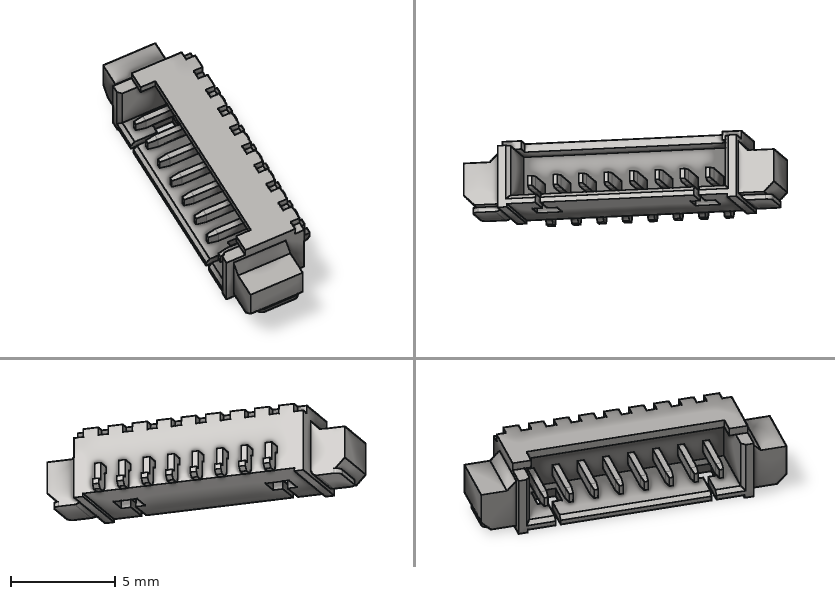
import cadquery as cq
import math


overall_length = 15.25
overall_depth = 5.2
height = 3.4
body_length = 11.75
body_depth = 4.2
body_half = body_length / 2
standoff = 0.15
end_pad_width = 0.45

wall = 0.6
floor_top = 0.6
roof = 0.4
roof_underside = height - roof
cavity_depth = 3.0
mouth_chamfer = 0.2

side_wall_setback = 1.0
roof_setback = 1.8
roof_tab_width = 0.93
notch_width = 0.5
notch_depth = 0.49
corner_notch_width = 0.47

pin_count = 8
pin_pitch = 1.25
pin_width = 0.32
pin_bottom = 1.02
pin_height = 0.6
pin_tip_setback = 0.4
pin_taper_length = 0.5
pin_taper = 0.06

tail_thickness = 0.32
tail_leg_outer = 0.73
tail_leg_inner = 0.23
tail_bend_radius = 0.18
tail_toe_top = 0.47
tail_chamfer_length = 0.17
tail_chamfer_height = 0.21

opening_center = 3.89
slit_width = 0.25
window_width = 1.22
window_front = 1.42
window_back = 2.5

wing_front = 0.38
wing_depth = 2.82
wing_bottom = 0.25
wing_top = 2.3
wing_gusset = 0.47
wing_chamfer = 0.49
foot_setback = 0.26
foot_front = 0.98
foot_corner_radius = 0.3
foot_bend_radius = 0.34

pin_positions = [(i - (pin_count - 1) / 2) * pin_pitch for i in range(pin_count)]


def block(x_min, x_max, y_min, y_max, z_min, z_max):
    """Axis-aligned box between the given limits."""
    size = (x_max - x_min, y_max - y_min, z_max - z_min)
    return cq.Workplane("XY").box(*size, centered=False).translate((x_min, y_min, z_min))


def both_ends(shape):
    """The shape together with its mirror image at the other end of the part."""
    return shape.union(shape.mirror("YZ"))


def make_cavity():
    """Pocket open to the front, its mouth flared along the floor and side walls."""
    inner_half = body_half - wall
    pocket = block(-inner_half, inner_half, 0, cavity_depth, floor_top, roof_underside)
    flare_half = inner_half + mouth_chamfer
    flare_bottom = floor_top - mouth_chamfer
    flare_top = roof_underside + mouth_chamfer
    flare = (
        cq.Workplane("XZ")
        .center(0, (flare_bottom + flare_top) / 2)
        .rect(2 * flare_half, flare_top - flare_bottom)
        .extrude(-mouth_chamfer, taper=45)
    )
    return pocket.union(flare)


def make_roof_cuts():
    """Front step of the roof, leaving a tab at each end, and the notches along its rear edge."""
    opening_half = body_half - roof_tab_width
    cuts = block(-body_half, body_half, 0, side_wall_setback, roof_underside, height)
    cuts = cuts.union(block(-opening_half, opening_half, 0, roof_setback, roof_underside, height))
    notch_front = body_depth - notch_depth
    for x in pin_positions:
        notch = block(
            x - notch_width / 2, x + notch_width / 2, notch_front, body_depth, roof_underside, height
        )
        cuts = cuts.union(notch)
    corner_start = body_half - corner_notch_width
    corner = block(corner_start, body_half, notch_front, body_depth, roof_underside, height)
    return cuts.union(both_ends(corner))


def make_floor_openings():
    """A window through the floor between the last two pins of each end, slit out to the front."""
    window = block(
        opening_center - window_width / 2,
        opening_center + window_width / 2,
        window_front,
        window_back,
        0,
        floor_top,
    )
    slit = block(
        opening_center - slit_width / 2, opening_center + slit_width / 2, 0, window_front, 0, floor_top
    )
    return both_ends(window.union(slit))


def make_housing():
    """Hollow body raised off the board on a full-depth pad along each end."""
    pad_inner = body_half - end_pad_width
    body = block(-body_half, body_half, 0, body_depth, standoff, height)
    pad = block(pad_inner, body_half, 0, body_depth, 0, standoff)
    body = body.union(both_ends(pad))
    return body.cut(make_cavity()).cut(make_roof_cuts()).cut(make_floor_openings())


def make_wing():
    """Wing on the +X end, with a sloped gusset above and a chamfer on its lower outer edge."""
    tip = overall_length / 2
    return (
        cq.Workplane("XZ")
        .moveTo(body_half, wing_bottom)
        .lineTo(tip - wing_chamfer, wing_bottom)
        .lineTo(tip, wing_bottom + wing_chamfer)
        .lineTo(tip, wing_top)
        .lineTo(body_half + wing_gusset, wing_top)
        .lineTo(body_half, wing_top + wing_gusset)
        .close()
        .extrude(-wing_depth)
        .translate((0, wing_front, 0))
    )


def make_foot():
    """Solder foot under the +X wing, its underside curving up where it meets the housing."""
    tip = overall_length / 2 - foot_setback
    foot_back = wing_front + wing_depth
    foot = block(body_half, tip, foot_front, foot_back, 0, wing_bottom)
    foot = foot.edges("|Z and >X").fillet(foot_corner_radius)
    bend_relief = block(
        body_half, body_half + foot_bend_radius, foot_front, foot_back, 0, foot_bend_radius
    )
    bend = (
        cq.Workplane("XZ")
        .center(body_half + foot_bend_radius, foot_bend_radius)
        .circle(foot_bend_radius)
        .extrude(-body_depth)
    )
    return foot.cut(bend_relief.cut(bend))


def make_pin():
    """Pin at X = 0: a bar with a tapered tip in the cavity and a bent tail behind the housing."""
    taper_start = pin_tip_setback + pin_taper_length
    pin_middle = pin_bottom + pin_height / 2
    bar = block(
        -pin_width / 2,
        pin_width / 2,
        taper_start,
        cavity_depth,
        pin_bottom,
        pin_bottom + pin_height,
    )
    tip = (
        cq.Workplane("XZ", origin=(0, taper_start, pin_middle))
        .rect(pin_width, pin_height)
        .workplane(offset=pin_taper_length)
        .rect(pin_width - 2 * pin_taper, pin_height - 2 * pin_taper)
        .loft()
    )
    leg_outer = body_depth + tail_leg_outer
    leg_inner = body_depth + tail_leg_inner
    tail_top = pin_bottom + tail_thickness
    bend_center_y = leg_inner - tail_bend_radius
    bend_center_z = pin_bottom - tail_bend_radius
    bend_mid = tail_bend_radius * math.sqrt(0.5)
    tail = (
        cq.Workplane("YZ")
        .moveTo(body_depth, tail_top)
        .lineTo(leg_outer, tail_top)
        .lineTo(leg_outer, tail_toe_top)
        .lineTo(overall_depth, tail_toe_top)
        .lineTo(overall_depth, tail_chamfer_height)
        .lineTo(overall_depth - tail_chamfer_length, 0)
        .lineTo(leg_inner + tail_chamfer_length, 0)
        .lineTo(leg_inner, tail_chamfer_height)
        .lineTo(leg_inner, bend_center_z)
        .threePointArc(
            (bend_center_y + bend_mid, bend_center_z + bend_mid), (bend_center_y, pin_bottom)
        )
        .lineTo(body_depth, pin_bottom)
        .close()
        .extrude(pin_width / 2, both=True)
    )
    return bar.union(tip).union(tail)


result = make_housing().union(both_ends(make_wing().union(make_foot())))
pin = make_pin()
for x in pin_positions:
    result = result.union(pin.translate((x, 0, 0)))